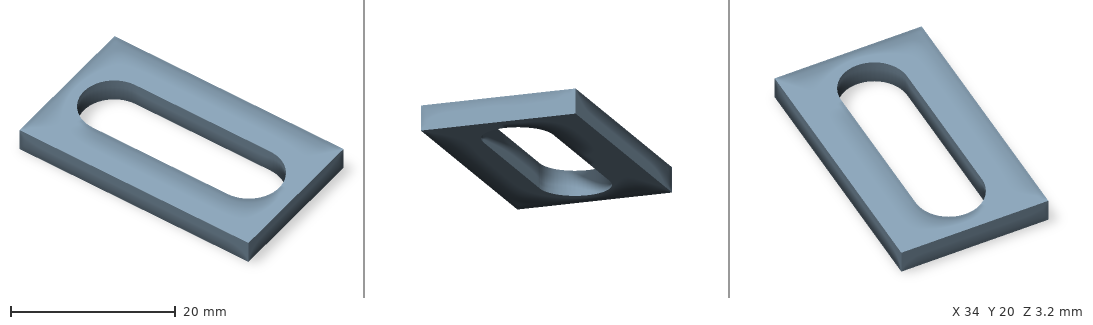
import cadquery as cq

length = 34.0
width = 20.0
thickness = 3.2

slot_length = 29.0
slot_width = 9.0

plate = cq.Workplane("XY").box(length, width, thickness)
result = plate.faces(">Z").workplane().slot2D(slot_length, slot_width).cutThruAll()